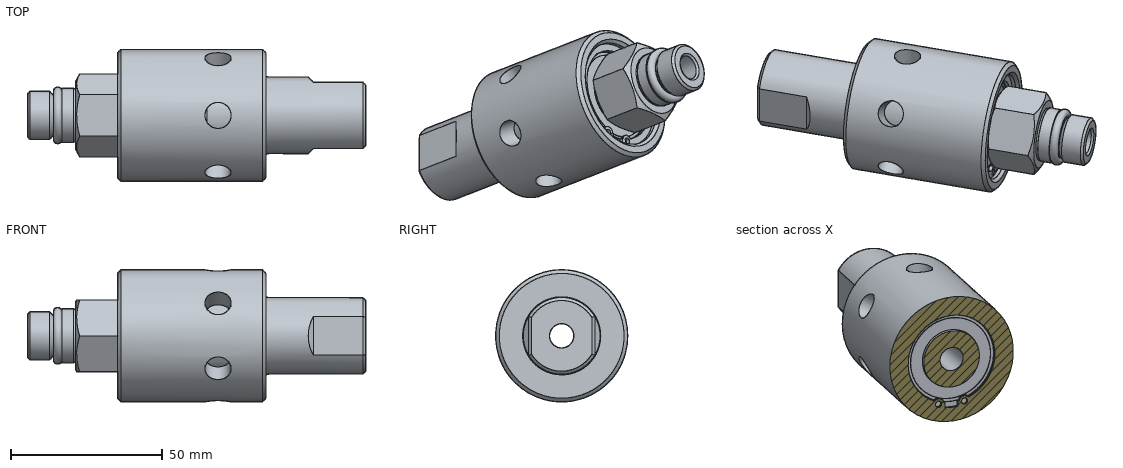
import cadquery as cq
import math


total_length = 111.9

nose_diameter = 16.0
nose_tip_diameter = 14.4
nose_chamfer = (nose_diameter - nose_tip_diameter) / 2
groove_diameter = 13.5
groove_start = 8.5
groove_shoulder = (nose_diameter - groove_diameter) / 2
seal_section_radius = 1.5
seal_outer_diameter = 18.8
collar_diameter = 18.0
collar_start = 11.3
undercut_diameter = 17.7
undercut_start = 15.2

hex_start = 15.9
hex_end = 32.0
hub_diameter = 19.8
hex_across_flats = 23.8
hex_across_corners = hex_across_flats / math.cos(math.pi / 6)
hex_face_diameter = 22.6
hex_chamfer_length = 1.3

body_start = 29.8
body_end = 78.9
body_diameter = 43.8
body_front_chamfer = 1.1
body_rear_chamfer = 1.2

recess_diameter = 35.0
recess_mouth_diameter = 37.0
recess_chamfer = (recess_mouth_diameter - recess_diameter) / 2
recess_floor = 33.2
outer_well_diameter = 30.2
outer_well_floor = 33.5
well_diameter = 28.2
well_floor = 33.7

ring_face = 32.0
ring_inner_diameter = 30.4
lug_radius = 2.0
lug_pitch_radius = 16.0
lug_spacing = 9.2
lug_hole_diameter = 2.0
ring_gap = 4.5
ring_gap_outer_radius = 16.9

radial_hole_count = 6
radial_hole_diameter = 8.6
radial_hole_x = 63.0
core_diameter = 27.5
core_start = 59.4
core_step = 0.5

shaft_diameter = 25.4
shaft_root_diameter = 25.8
shaft_root_length = 0.9
shaft_chamfer = 1.0
flats_across = 21.9
flats_start = 94.5
flats_depth = (shaft_diameter - flats_across) / 2

bore_diameter = 8.0
bore_mouth_diameter = 9.3
bore_chamfer = (bore_mouth_diameter - bore_diameter) / 2


def cylinder(diameter, start, end):
    """Solid cylinder on the X axis between two X positions."""
    return cq.Workplane("YZ", origin=(start, 0, 0)).circle(diameter / 2).extrude(end - start)


def revolved(profile):
    """Revolve a closed (x, radius) polygon about the X axis."""
    return cq.Workplane("XY").polyline(profile).close().revolve(360, (0, 0, 0), (1, 0, 0))


def make_nose():
    """Nose, groove and undercut collar, with the seal ring standing out of the groove."""
    turned = revolved([
        (0, 0),
        (0, nose_tip_diameter / 2),
        (nose_chamfer, nose_diameter / 2),
        (groove_start - groove_shoulder, nose_diameter / 2),
        (groove_start, groove_diameter / 2),
        (collar_start, groove_diameter / 2),
        (collar_start, collar_diameter / 2),
        (undercut_start, collar_diameter / 2),
        (undercut_start, undercut_diameter / 2),
        (hex_start, undercut_diameter / 2),
        (hex_start, 0),
    ])
    seal = (
        cq.Workplane("XY")
        .center(groove_start + seal_section_radius, seal_outer_diameter / 2 - seal_section_radius)
        .circle(seal_section_radius)
        .revolve(360, (-1.1, seal_section_radius - seal_outer_diameter / 2, 0),
                 (1.1, seal_section_radius - seal_outer_diameter / 2, 0))
    )
    return turned.union(seal)


def make_hexagon():
    """Hexagon with flats facing +Z and -Z and both ends turned to a cone, on a hub rising from the well."""
    prism = (
        cq.Workplane("YZ", origin=(hex_start, 0, 0))
        .polygon(6, hex_across_corners)
        .extrude(hex_end - hex_start)
    )
    envelope = revolved([
        (hex_start, 0),
        (hex_start, hex_face_diameter / 2),
        (hex_start + hex_chamfer_length, hex_across_corners / 2),
        (hex_end - hex_chamfer_length, hex_across_corners / 2),
        (hex_end, hex_face_diameter / 2),
        (hex_end, 0),
    ])
    hub = cylinder(hub_diameter, hex_end, well_floor)
    return prism.intersect(envelope).union(hub)


def make_body():
    """Body drum with a stepped recess in its front face."""
    drum = (
        cylinder(body_diameter, body_start, body_end)
        .faces("<X").edges().chamfer(body_front_chamfer)
        .faces(">X").edges().chamfer(body_rear_chamfer)
    )
    recess = revolved([
        (body_start, 0),
        (body_start, recess_mouth_diameter / 2),
        (body_start + recess_chamfer, recess_diameter / 2),
        (recess_floor, recess_diameter / 2),
        (recess_floor, outer_well_diameter / 2),
        (outer_well_floor, outer_well_diameter / 2),
        (outer_well_floor, well_diameter / 2),
        (well_floor, well_diameter / 2),
        (well_floor, 0),
    ])
    return drum.cut(recess)


def make_retaining_ring():
    """Internal retaining ring with two pierced lugs beside its gap at the bottom."""
    lug_height = -math.sqrt(lug_pitch_radius**2 - (lug_spacing / 2)**2)
    lug_centres = [(side * lug_spacing / 2, lug_height) for side in (-1, 1)]
    thickness = recess_floor - ring_face
    face = cq.Workplane("YZ", origin=(ring_face, 0, 0))

    ring = face.circle(recess_diameter / 2).circle(ring_inner_diameter / 2).extrude(thickness)
    lugs = face.pushPoints(lug_centres).circle(lug_radius).extrude(thickness)
    gap = (
        face.center(0, -ring_gap_outer_radius / 2)
        .rect(ring_gap, ring_gap_outer_radius)
        .extrude(thickness)
        .intersect(cylinder(2 * ring_gap_outer_radius, ring_face, recess_floor))
    )
    holes = face.pushPoints(lug_centres).circle(lug_hole_diameter / 2).extrude(thickness)
    inside = cylinder(recess_diameter, ring_face, recess_floor)
    return ring.union(lugs.intersect(inside)).cut(gap).cut(holes)


def make_radial_holes():
    """Cutter for the blind radial holes, ending on the stepped inner core."""
    holes = cq.Workplane("XY")
    for index in range(radial_hole_count):
        hole = (
            cq.Workplane("XY", origin=(radial_hole_x, 0, 0))
            .circle(radial_hole_diameter / 2)
            .extrude(body_diameter)
            .rotate((0, 0, 0), (1, 0, 0), index * 360 / radial_hole_count)
        )
        holes = holes.add(hole)
    core = cylinder(core_diameter, core_start, body_end)
    core = core.union(cylinder(core_diameter - 2 * core_step, body_start, core_start))
    return holes.combine().cut(core)


def make_shaft():
    """Shaft with a tapered root and flats on +Y and -Y that run out at 45 degrees and have bevelled ends."""
    shaft = revolved([
        (body_end, 0),
        (body_end, shaft_root_diameter / 2),
        (body_end + shaft_root_length, shaft_diameter / 2),
        (total_length - shaft_chamfer, shaft_diameter / 2),
        (total_length, shaft_diameter / 2 - shaft_chamfer),
        (total_length, 0),
    ])
    flat_cutter = (
        cq.Workplane("XY", origin=(0, 0, -shaft_diameter / 2))
        .polyline([
            (flats_start - flats_depth, shaft_diameter / 2),
            (flats_start, flats_across / 2),
            (total_length - shaft_chamfer, flats_across / 2),
            (total_length, flats_across / 2 - shaft_chamfer),
            (total_length, shaft_diameter / 2),
        ])
        .close()
        .extrude(shaft_diameter)
    )
    return shaft.cut(flat_cutter).cut(flat_cutter.mirror("XZ"))


def make_bore():
    """Cutter for the through bore and its countersunk mouth."""
    return revolved([
        (0, 0),
        (0, bore_mouth_diameter / 2),
        (bore_chamfer, bore_diameter / 2),
        (total_length, bore_diameter / 2),
        (total_length, 0),
    ])


result = (
    make_body()
    .union(make_retaining_ring())
    .union(make_hexagon())
    .union(make_nose())
    .union(make_shaft())
    .cut(make_radial_holes())
    .cut(make_bore())
)